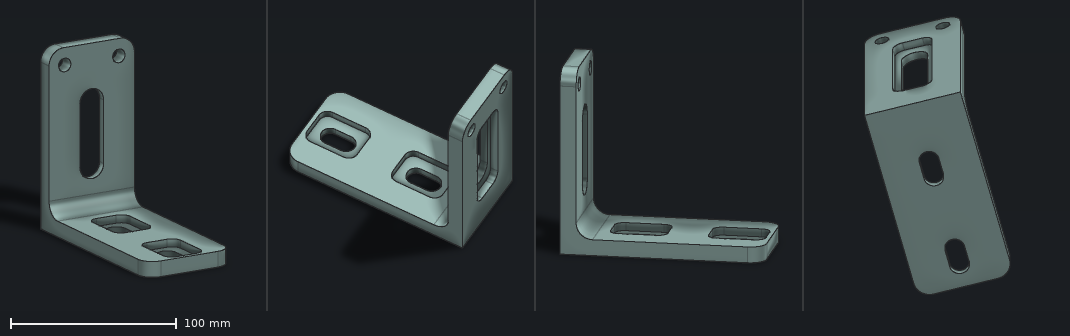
import cadquery as cq

length = 125.0
width = 60.0
height = 115.0
thickness = 10.0
bend_radius = 10.0
corner_radius = 10.0

foot_slot_length = 23.0
foot_slot_width = 12.0
foot_pocket_length = 35.0
foot_pocket_width = 26.0
foot_slot_spacing = 60.0
first_foot_slot_x = 44.5

wall_slot_length = 56.5
wall_slot_width = 16.5
wall_pocket_length = 70.2
wall_pocket_width = 24.5
wall_slot_z = 58.0

pocket_radius = 6.0
foot_pocket_depth = 5.0
wall_pocket_depth = 5.0

hole_diameter = 8.5
hole_spacing = 38.0
hole_z = 104.0


def make_bracket():
    """L profile with a filleted inner bend and rounded free corners."""
    foot = cq.Workplane("XY").box(length, width, thickness, centered=(False, True, False))
    upright = cq.Workplane("XY").box(thickness, width, height, centered=(False, True, False))
    foot = foot.edges("|Z and >X").fillet(corner_radius)
    upright = upright.edges("|X and >Z").fillet(corner_radius)
    bend = (
        cq.Workplane("XZ", origin=(thickness, width / 2, thickness))
        .lineTo(bend_radius, 0)
        .radiusArc((0, bend_radius), bend_radius)
        .close()
        .extrude(width)
    )
    return foot.union(upright).union(bend)


def recessed_slot(plane, slot_length, slot_width, pocket_length, pocket_width, depth):
    """Cutter for a through slot in a rounded pocket sunk along the plane's negative normal."""
    slot = plane.slot2D(slot_length, slot_width).extrude(-thickness)
    pocket = plane.rect(pocket_length, pocket_width).extrude(-depth)
    pocket = pocket.edges(cq.selectors.ParallelDirSelector(plane.plane.zDir)).fillet(pocket_radius)
    return slot.union(pocket)


def foot_slot(x):
    plane = cq.Workplane("XY", origin=(x, 0, thickness))
    return recessed_slot(
        plane, foot_slot_length, foot_slot_width,
        foot_pocket_length, foot_pocket_width, foot_pocket_depth,
    )


def wall_slot():
    plane = cq.Workplane(cq.Plane(origin=(0, 0, wall_slot_z), xDir=(0, 0, 1), normal=(-1, 0, 0)))
    return recessed_slot(
        plane, wall_slot_length, wall_slot_width,
        wall_pocket_length, wall_pocket_width, wall_pocket_depth,
    )


def wall_holes():
    return (
        cq.Workplane("YZ")
        .pushPoints([(side * hole_spacing / 2, hole_z) for side in (-1, 1)])
        .circle(hole_diameter / 2)
        .extrude(thickness)
    )


result = make_bracket()
for slot_number in range(2):
    result = result.cut(foot_slot(first_foot_slot_x + slot_number * foot_slot_spacing))
result = result.cut(wall_slot()).cut(wall_holes())